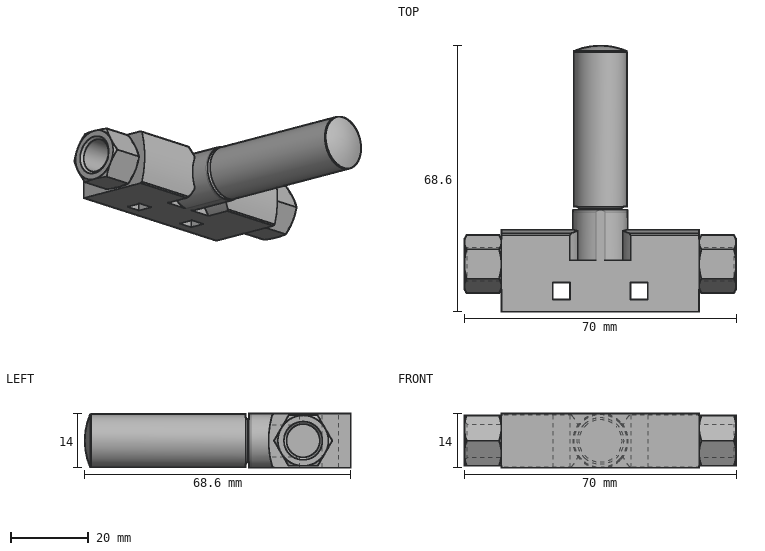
import cadquery as cq
import math


BLOCK_LENGTH = 51.0
THICKNESS = 14.0
BLOCK_FRONT_Y = -12.3
BLOCK_CROWN_Y = 8.9
CROWN_RADIUS = 24.0
BACK_BEVEL_HEIGHT = 0.3
BACK_BEVEL_DEPTH = 0.5

HOLE_LENGTH = 4.4
HOLE_WIDTH = 4.3
HOLE_OFFSET_X = 10.0
HOLE_Y = -6.95

RECESS_FLOOR_Y = 0.95
RECESS_WALL_RADIUS = 10.0
RECESS_HALF_WIDTH = 7.8

NECK_RADIUS = 7.1
NECK_END_Y = 14.0
NECK_CHAMFER_LENGTH = 0.5
NECK_CHAMFER_DEPTH = 0.1
GROOVE_RADIUS = 5.5
GROOVE_CONE_LENGTH = 0.5
HANDLE_RADIUS = 13.8 / 2
HANDLE_START_Y = 14.8
HANDLE_SHOULDER_Y = 54.6
HANDLE_END_Y = 56.3
HANDLE_CHAMFER_LENGTH = 0.3
HANDLE_CHAMFER_DEPTH = 0.1

OVERALL_LENGTH = 70.0
NUT_SIDES = 6
NUT_ACROSS_FLATS = 13.0
NUT_CHAMFER_ANGLE = 30.0
BORE_DIAMETER = 8.57
BORE_MOUTH_DIAMETER = 9.9

HALF_THICKNESS = THICKNESS / 2
HALF_BLOCK = BLOCK_LENGTH / 2
NUT_LENGTH = (OVERALL_LENGTH - BLOCK_LENGTH) / 2


def make_block():
    """Block with a gently crowned, bevel-edged back face."""
    crown_half_height = HALF_THICKNESS - BACK_BEVEL_HEIGHT
    crown_rise = CROWN_RADIUS - math.sqrt(CROWN_RADIUS**2 - crown_half_height**2)
    crown_edge_y = BLOCK_CROWN_Y - crown_rise
    bevel_edge_y = crown_edge_y - BACK_BEVEL_DEPTH
    return (
        cq.Workplane("YZ", origin=(-HALF_BLOCK, 0, 0))
        .moveTo(BLOCK_FRONT_Y, -HALF_THICKNESS)
        .lineTo(bevel_edge_y, -HALF_THICKNESS)
        .lineTo(crown_edge_y, -crown_half_height)
        .threePointArc((BLOCK_CROWN_Y, 0), (crown_edge_y, crown_half_height))
        .lineTo(bevel_edge_y, HALF_THICKNESS)
        .lineTo(BLOCK_FRONT_Y, HALF_THICKNESS)
        .close()
        .extrude(BLOCK_LENGTH)
    )


def make_recess():
    """Clearance around the neck, bounded on each side by a convex round wall."""
    wall_center_x = RECESS_HALF_WIDTH + math.sqrt(RECESS_WALL_RADIUS**2 - HALF_THICKNESS**2)
    wall_crest_x = wall_center_x - RECESS_WALL_RADIUS
    depth = BLOCK_CROWN_Y - RECESS_FLOOR_Y
    return (
        cq.Workplane("XZ", origin=(0, BLOCK_CROWN_Y, 0))
        .moveTo(-RECESS_HALF_WIDTH, -HALF_THICKNESS)
        .lineTo(RECESS_HALF_WIDTH, -HALF_THICKNESS)
        .threePointArc((wall_crest_x, 0), (RECESS_HALF_WIDTH, HALF_THICKNESS))
        .lineTo(-RECESS_HALF_WIDTH, HALF_THICKNESS)
        .threePointArc((-wall_crest_x, 0), (-RECESS_HALF_WIDTH, -HALF_THICKNESS))
        .close()
        .extrude(depth)
    )


def make_handle():
    """Neck, groove and domed handle turned about the Y axis; the neck is flattened top and bottom."""
    dome_rim_radius = HANDLE_RADIUS - HANDLE_CHAMFER_DEPTH
    dome_rim_y = HANDLE_SHOULDER_Y + HANDLE_CHAMFER_LENGTH
    dome_height = HANDLE_END_Y - dome_rim_y
    dome_radius = (dome_rim_radius**2 + dome_height**2) / (2 * dome_height)
    dome_half_angle = math.asin(dome_rim_radius / dome_radius) / 2
    dome_middle = (
        dome_radius * math.sin(dome_half_angle),
        HANDLE_END_Y - dome_radius * (1 - math.cos(dome_half_angle)),
    )
    turned = (
        cq.Workplane("XY")
        .moveTo(0, RECESS_FLOOR_Y)
        .lineTo(NECK_RADIUS, RECESS_FLOOR_Y)
        .lineTo(NECK_RADIUS, NECK_END_Y - NECK_CHAMFER_LENGTH)
        .lineTo(NECK_RADIUS - NECK_CHAMFER_DEPTH, NECK_END_Y)
        .lineTo(GROOVE_RADIUS, NECK_END_Y)
        .lineTo(GROOVE_RADIUS, HANDLE_START_Y - GROOVE_CONE_LENGTH)
        .lineTo(GROOVE_RADIUS + GROOVE_CONE_LENGTH, HANDLE_START_Y)
        .lineTo(HANDLE_RADIUS, HANDLE_START_Y)
        .lineTo(HANDLE_RADIUS, HANDLE_SHOULDER_Y)
        .lineTo(dome_rim_radius, dome_rim_y)
        .threePointArc(dome_middle, (0, HANDLE_END_Y))
        .close()
        .revolve(360, (0, 0, 0), (0, 1, 0))
    )
    flats = cq.Workplane("XY").box(
        2 * NECK_RADIUS, HANDLE_END_Y, THICKNESS, centered=(True, False, True)
    )
    return turned.intersect(flats)


def make_nut():
    """Hex nut on the +X end, chamfered at both ends, with a blind countersunk bore."""
    corner_diameter = NUT_ACROSS_FLATS / math.cos(math.pi / NUT_SIDES)
    corner_radius = corner_diameter / 2
    face_radius = NUT_ACROSS_FLATS / 2
    chamfer_length = (corner_radius - face_radius) * math.tan(math.radians(NUT_CHAMFER_ANGLE))
    nut_end_x = HALF_BLOCK + NUT_LENGTH
    hexagon = (
        cq.Workplane("YZ", origin=(HALF_BLOCK, 0, 0))
        .polygon(NUT_SIDES, corner_diameter)
        .extrude(NUT_LENGTH)
    )
    chamfer_envelope = (
        cq.Workplane("XY")
        .moveTo(HALF_BLOCK, 0)
        .lineTo(HALF_BLOCK, face_radius)
        .lineTo(HALF_BLOCK + chamfer_length, corner_radius)
        .lineTo(nut_end_x - chamfer_length, corner_radius)
        .lineTo(nut_end_x, face_radius)
        .lineTo(nut_end_x, 0)
        .close()
        .revolve(360, (0, 0, 0), (1, 0, 0))
    )
    bore_radius = BORE_DIAMETER / 2
    mouth_radius = BORE_MOUTH_DIAMETER / 2
    bore = (
        cq.Workplane("XY")
        .moveTo(HALF_BLOCK, 0)
        .lineTo(HALF_BLOCK, bore_radius)
        .lineTo(nut_end_x - (mouth_radius - bore_radius), bore_radius)
        .lineTo(nut_end_x, mouth_radius)
        .lineTo(nut_end_x, 0)
        .close()
        .revolve(360, (0, 0, 0), (1, 0, 0))
    )
    return hexagon.intersect(chamfer_envelope).cut(bore)


def make_through_holes():
    """Two rectangular holes through the block."""
    return (
        cq.Workplane("XY")
        .pushPoints([(side * HOLE_OFFSET_X, HOLE_Y) for side in (-1, 1)])
        .rect(HOLE_LENGTH, HOLE_WIDTH)
        .extrude(HALF_THICKNESS, both=True)
    )


nut = make_nut()
result = (
    make_block()
    .cut(make_recess())
    .cut(make_through_holes())
    .union(make_handle())
    .union(nut)
    .union(nut.mirror("YZ"))
)